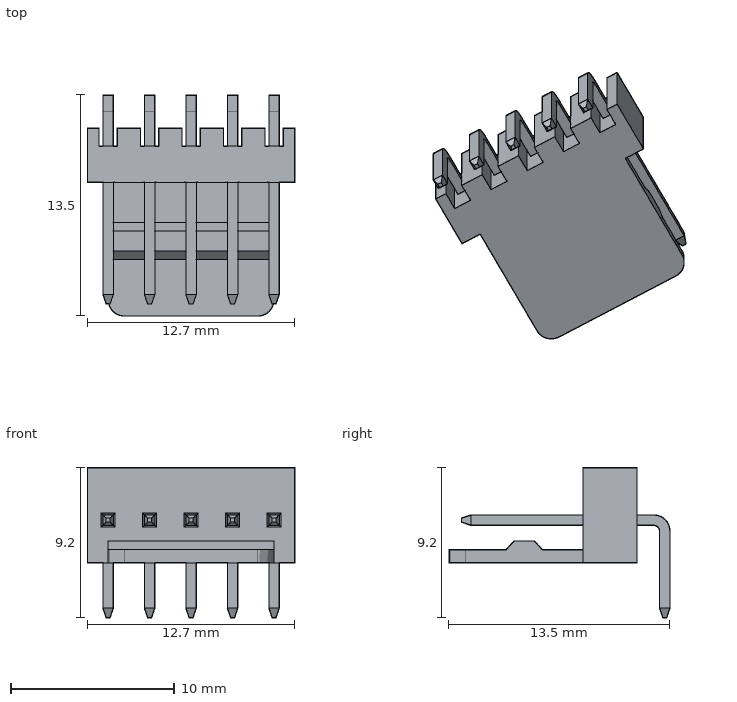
import cadquery as cq


pin_count = 5
housing_width = 12.7
pin_pitch = housing_width / pin_count
housing_depth = 3.33
housing_height = 5.83
slot_width = 1.11
slot_depth = 1.11

plate_width = (pin_count - 1) * pin_pitch
plate_length = 8.18
plate_thickness = 0.8
plate_corner_radius = 1.0
ridge_start = 2.46
ridge_base_length = 2.25
ridge_ramp_length = 0.5
ridge_height = 0.54

pin_size = 0.65
pin_axis_height = 2.61
pin_front_reach = 7.44
pin_back_reach = 2.01
pin_drop = 3.37
bend_outer_radius = 1.0
tip_length = 0.6
tip_size = 0.25
countersink_size = 0.85
countersink_depth = 0.101

half_pin = pin_size / 2
tail_axis_y = housing_depth + pin_back_reach - half_pin
pin_positions = [(i - (pin_count - 1) / 2) * pin_pitch for i in range(pin_count)]


def square_taper(plane, start_size, end_size, length):
    """Square frustum growing from the plane along its normal."""
    return (
        cq.Workplane(plane)
        .rect(start_size, start_size)
        .workplane(offset=length)
        .rect(end_size, end_size)
        .loft(ruled=True)
    )


def plane_facing(origin, normal):
    return cq.Plane(origin=origin, xDir=(1, 0, 0), normal=normal)


def make_housing():
    """Block with a full-height slot behind each pin and a countersink around its front exit."""
    housing = cq.Workplane("XY").box(
        housing_width, housing_depth, housing_height, centered=(True, False, False)
    )
    for x in pin_positions:
        slot = (
            cq.Workplane("XY")
            .center(x, housing_depth - slot_depth / 2)
            .rect(slot_width, slot_depth)
            .extrude(housing_height)
        )
        face_plane = plane_facing((x, 0, pin_axis_height), (0, 1, 0))
        countersink = square_taper(face_plane, countersink_size, pin_size, countersink_depth)
        housing = housing.cut(slot).cut(countersink)
    return housing


def make_latch_plate():
    """Plate along the underside, rounded at its free corners, with the ridge on top."""
    ridge_top = plate_thickness + ridge_height
    ridge_end = ridge_start + ridge_base_length
    profile = [
        (0, 0),
        (-plate_length, 0),
        (-plate_length, plate_thickness),
        (-ridge_end, plate_thickness),
        (-ridge_end + ridge_ramp_length, ridge_top),
        (-ridge_start - ridge_ramp_length, ridge_top),
        (-ridge_start, plate_thickness),
        (0, plate_thickness),
    ]
    plate = cq.Workplane("YZ").polyline(profile).close().extrude(plate_width / 2, both=True)
    return plate.edges("|Z").edges("<Y").fillet(plate_corner_radius)


def make_pin(x):
    """Square pin running back through the housing and bent down, tapered at both ends."""
    top = pin_axis_height + half_pin
    bottom = pin_axis_height - half_pin
    back = tail_axis_y + half_pin
    inner = tail_axis_y - half_pin
    shank_front = -pin_front_reach + tip_length
    shank_bottom = -pin_drop + tip_length
    bend_inner_radius = bend_outer_radius - pin_size
    bend_y = back - bend_outer_radius
    bend_z = top - bend_outer_radius
    shank = (
        cq.Workplane("YZ", origin=(x, 0, 0))
        .moveTo(shank_front, top)
        .lineTo(bend_y, top)
        .radiusArc((back, bend_z), bend_outer_radius)
        .lineTo(back, shank_bottom)
        .lineTo(inner, shank_bottom)
        .lineTo(inner, bend_z)
        .radiusArc((bend_y, bottom), -bend_inner_radius)
        .lineTo(shank_front, bottom)
        .close()
        .extrude(half_pin, both=True)
    )
    front_plane = plane_facing((x, shank_front, pin_axis_height), (0, -1, 0))
    tail_plane = plane_facing((x, tail_axis_y, shank_bottom), (0, 0, -1))
    front_tip = square_taper(front_plane, pin_size, tip_size, tip_length)
    tail_tip = square_taper(tail_plane, pin_size, tip_size, tip_length)
    return shank.union(front_tip).union(tail_tip)


result = make_housing().union(make_latch_plate())
for pin_x in pin_positions:
    result = result.union(make_pin(pin_x))